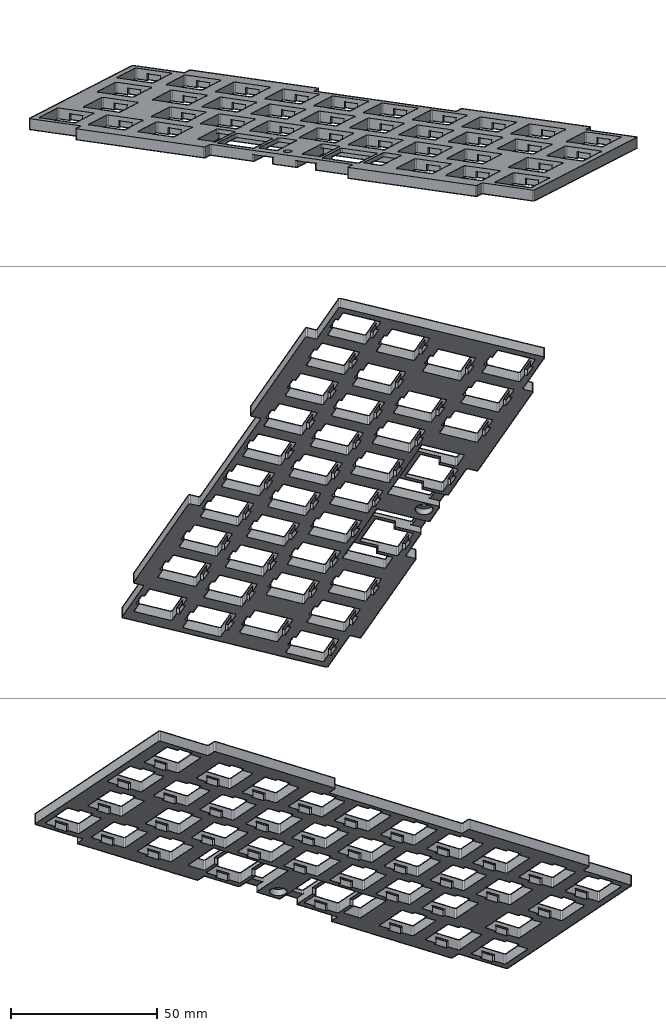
import cadquery as cq


plate_length = 195.3
key_units_wide = 10.25
key_rows = 4
pitch = plate_length / key_units_wide
body_depth = key_rows * pitch

overall_depth = 84.2
thickness = 4.0
web = 1.5
relief_height = thickness - web
corner_radius = 0.5

tab_length = 50.0
tab_offset = 52.5

switch_size = 14.0
clip_width = 5.0
clip_depth = 1.0

row_keys = [
    [0.5 + i for i in range(9)] + [9.625],
    [0.625] + [1.75 + i for i in range(9)],
    [0.875] + [2.25 + i for i in range(7)] + [9.5],
    [0.5, 1.5, 2.5, 4.125, 6.25, 7.75, 8.75, 9.75],
]

stabilized_keys = [4.125, 6.25]
stabilizer_offset = 12.0
stabilizer_width = 7.0
stabilizer_back = 8.8
stabilizer_front = -5.9
pocket_back = 10.0
pocket_front = 0.2

screw_diameter = 3.0
screw_head_diameter = 6.0
screw_from_front = 4.5


def key_x(units):
    return units * pitch - plate_length / 2


def row_y(row):
    return body_depth / 2 - (row + 0.5) * pitch


def block(x_min, x_max, y_min, y_max, height):
    """Box standing on the underside of the plate."""
    size_x = x_max - x_min
    size_y = y_max - y_min
    return cq.Workplane("XY").box(size_x, size_y, height, centered=False).translate((x_min, y_min, 0))


def rounded_block(x_min, x_max, y_min, y_max, height):
    return block(x_min, x_max, y_min, y_max, height).edges("|Z").fillet(corner_radius)


def plate_blank():
    blank = cq.Workplane("XY").box(plate_length, body_depth, thickness, centered=(True, True, False))
    for side in (-1, 1):
        middle = side * tab_offset
        blank = blank.union(
            block(middle - tab_length / 2, middle + tab_length / 2,
                  -overall_depth / 2, overall_depth / 2, thickness)
        )
    return blank


def switch_opening(x, y):
    half = switch_size / 2
    reach = half + clip_depth
    opening = rounded_block(x - half, x + half, y - half, y + half, thickness)
    clips = block(x - clip_width / 2, x + clip_width / 2, y - reach, y + reach, relief_height)
    return opening.union(clips)


def stabilizer_slot(x, y):
    half = stabilizer_width / 2
    return rounded_block(x - half, x + half, y + stabilizer_front, y + stabilizer_back, thickness)


def stabilizer_pocket(x, y):
    """Underside pocket joining both slots of one wide key."""
    reach = stabilizer_offset + stabilizer_width / 2
    return block(x - reach, x + reach, y + pocket_front, y + pocket_back, relief_height)


def wire_notch(x, y):
    """Underside channel from a stabilizer slot out through the front edge."""
    half = stabilizer_width / 2
    return block(x - half, x + half, -body_depth / 2, y + pocket_front, relief_height)


def screw_opening(x, y):
    """Through hole with a recess for the screw head on the underside."""
    hole = cq.Workplane("XY").circle(screw_diameter / 2).extrude(thickness)
    recess = cq.Workplane("XY").circle(screw_head_diameter / 2).extrude(relief_height)
    return hole.union(recess).translate((x, y, 0))


front_row_y = row_y(key_rows - 1)
left_key_x, right_key_x = [key_x(units) for units in stabilized_keys]

notch_positions = [left_key_x + stabilizer_offset, right_key_x - stabilizer_offset]

result = plate_blank()
for x in notch_positions:
    result = result.cut(wire_notch(x, front_row_y))
result = result.edges("|Z").fillet(corner_radius)

for row, keys in enumerate(row_keys):
    for units in keys:
        result = result.cut(switch_opening(key_x(units), row_y(row)))

for x in (left_key_x, right_key_x):
    result = result.cut(stabilizer_pocket(x, front_row_y))
    for side in (-1, 1):
        result = result.cut(stabilizer_slot(x + side * stabilizer_offset, front_row_y))

screw_y = screw_from_front - body_depth / 2
result = result.cut(screw_opening(0, screw_y))